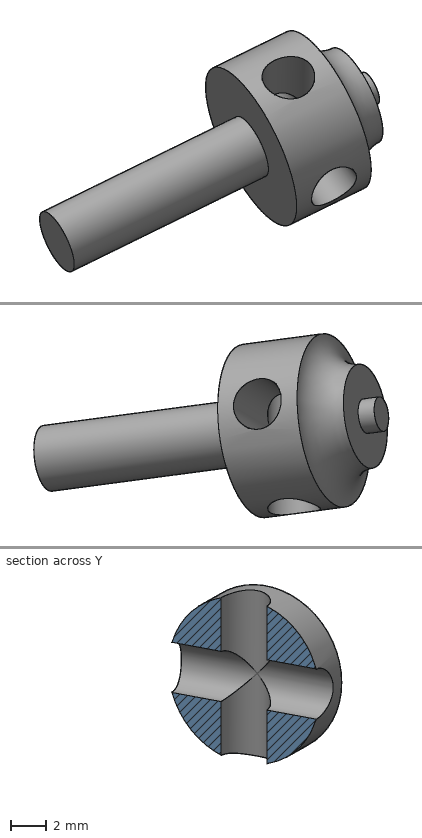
import cadquery as cq
import math

total_length = 21.0
head_diameter = 10.0
head_length = 5.0
shank_diameter = 3.8
cove_radius = 2.0
pin_diameter = 2.0
pin_length = 1.0
cross_hole_diameter = 3.0

pin_start = total_length - pin_length
cove_start = pin_start - cove_radius
head_start = cove_start - head_length
cross_hole_y = head_start + head_length / 2

head_radius = head_diameter / 2
shank_radius = shank_diameter / 2
pin_radius = pin_diameter / 2
nose_radius = head_radius - cove_radius


def turned_body():
    """Shank, head, concave nose and end pin as one revolved half profile."""
    cove_offset = cove_radius * math.sqrt(0.5)
    cove_middle = (head_radius - cove_offset, pin_start - cove_offset)
    return (
        cq.Workplane("XY")
        .lineTo(shank_radius, 0)
        .lineTo(shank_radius, head_start)
        .lineTo(head_radius, head_start)
        .lineTo(head_radius, cove_start)
        .threePointArc(cove_middle, (nose_radius, pin_start))
        .lineTo(pin_radius, pin_start)
        .lineTo(pin_radius, total_length)
        .lineTo(0, total_length)
        .close()
        .revolve(360, (0, 0, 0), (0, 1, 0))
    )


def cross_hole(direction):
    """Cutter passing right through the middle of the head along a direction."""
    center = cq.Vector(0, cross_hole_y, 0)
    start = center - direction * head_diameter
    return cq.Solid.makeCylinder(cross_hole_diameter / 2, 2 * head_diameter, start, direction)


result = turned_body()
for hole_direction in (cq.Vector(1, 0, 0), cq.Vector(0, 0, 1)):
    result = result.cut(cq.Workplane(obj=cross_hole(hole_direction)))